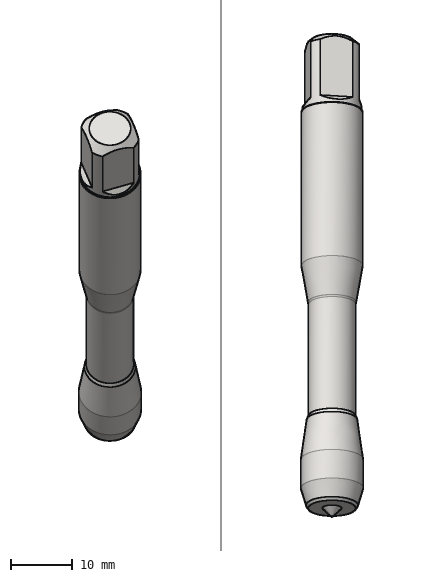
import cadquery as cq

total_length = 81.65
square_bottom = 70.8
shank_top = 69.3
shank_bottom = 43.1
taper_end = 36.8
neck_top = 36.5
neck_bottom = 17.3
head_top = 16.65
head_full = 9.9
lead_start = 5.0
lead_end = 2.05
point_base = 1.55

shank_diameter = 10.0
drive_diameter = 9.6
drive_top_diameter = 6.7
neck_diameter = 7.7
taper_end_diameter = 7.8
head_diameter = 10.1
collar_diameter = 8.25
lead_end_diameter = 8.4
end_face_diameter = 7.7

shank_chamfer = (shank_diameter - drive_diameter) / 2

square_width = 8.0
drive_chamfer_height = 1.3


def revolve_profile(outline):
    """Revolve (diameter, height) corners, ordered from bottom to top, about the Z axis."""
    corners = [(diameter / 2, height) for diameter, height in outline]
    return (
        cq.Workplane("XZ")
        .polyline(corners)
        .close()
        .revolve(360, (0, 0, 0), (0, 1, 0))
    )


def make_square_cutter():
    """Stock outside the square drive, with a 45 degree run-out at its lower end."""
    cutter_width = 2 * shank_diameter
    cutter_height = total_length - shank_top
    flats = (
        cq.Workplane("XY")
        .workplane(offset=square_bottom)
        .rect(square_width, square_width)
        .extrude(total_length - square_bottom)
    )
    run_out_height = square_bottom - shank_top
    run_out_width = square_width + 2 * run_out_height
    run_out = (
        cq.Workplane("XY")
        .workplane(offset=shank_top)
        .rect(run_out_width, run_out_width)
        .workplane(offset=run_out_height)
        .rect(square_width, square_width)
        .loft(ruled=True)
    )
    stock = (
        cq.Workplane("XY")
        .workplane(offset=shank_top)
        .rect(cutter_width, cutter_width)
        .extrude(cutter_height)
    )
    return stock.cut(flats.union(run_out))


def make_shank():
    """Collar, neck, taper, cylindrical shank and chamfered square drive."""
    blank = revolve_profile([
        (0, head_top),
        (collar_diameter, head_top),
        (neck_diameter, neck_bottom),
        (neck_diameter, neck_top),
        (taper_end_diameter, taper_end),
        (shank_diameter, shank_bottom),
        (shank_diameter, shank_top),
        (drive_diameter, shank_top + shank_chamfer),
        (drive_diameter, total_length - drive_chamfer_height),
        (drive_top_diameter, total_length),
        (0, total_length),
    ])
    return blank.cut(make_square_cutter())


def make_head():
    """Working head with its rear taper, tapered lead and conical centre point."""
    point_diameter = 2 * point_base
    return revolve_profile([
        (0, 0),
        (point_diameter, point_base),
        (end_face_diameter, point_base),
        (lead_end_diameter, lead_end),
        (head_diameter, lead_start),
        (head_diameter, head_full),
        (collar_diameter, head_top),
        (0, head_top),
    ])


shank = make_shank()
head = make_head()

result = cq.Compound.makeCompound([shank.val(), head.val()])